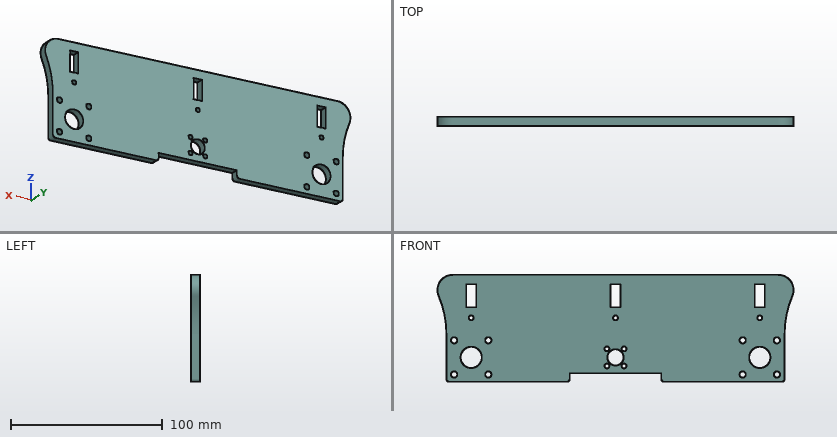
import cadquery as cq
import math

length = 234.5
thickness = 6.0
height = 70.5

wall_x = 111.5
lobe_radius = 10.0
flank_start_z = 31.7
corner_radius = 2.0
notch_half_width = 30.0
notch_depth = 5.6

station_x = 95.0
slot_width = 6.3
slot_height = 15.0
slot_z = 56.8
pin_hole_diameter = 3.0
pin_hole_z = 42.2
bore_z = 16.2
outer_bore_diameter = 13.8
outer_screw_diameter = 4.0
outer_screw_pitch = 22.5
center_bore_diameter = 10.5
center_screw_diameter = 3.0
center_screw_pitch = 11.3

lobe_x = length / 2 - lobe_radius
lobe_z = height - lobe_radius
lobe_inset = wall_x - lobe_x
lobe_rise = lobe_z - flank_start_z
flank_radius = (lobe_inset**2 + lobe_rise**2 - lobe_radius**2) / (2 * (lobe_radius - lobe_inset))
flank_x = wall_x + flank_radius
flank_angle = math.asin(lobe_rise / (flank_radius + lobe_radius))


def flank_point(angle):
    """Point on the right flank arc, at an angle above its start."""
    return (
        flank_x - flank_radius * math.cos(angle),
        flank_start_z + flank_radius * math.sin(angle),
    )


def lobe_point(angle):
    """Point on the right lobe arc, at an angle above the +X direction."""
    return (
        lobe_x + lobe_radius * math.cos(angle),
        lobe_z + lobe_radius * math.sin(angle),
    )


def mirrored(point):
    return (-point[0], point[1])


def make_plate():
    flank_middle = flank_point(flank_angle / 2)
    flank_end = flank_point(flank_angle)
    lobe_middle = lobe_point((math.pi / 2 - flank_angle) / 2)
    lobe_top = (lobe_x, height)
    plate = (
        cq.Workplane("XZ", origin=(0, thickness / 2, 0))
        .moveTo(-wall_x, 0)
        .lineTo(-notch_half_width, 0)
        .lineTo(-notch_half_width, notch_depth)
        .lineTo(notch_half_width, notch_depth)
        .lineTo(notch_half_width, 0)
        .lineTo(wall_x, 0)
        .lineTo(wall_x, flank_start_z)
        .threePointArc(flank_middle, flank_end)
        .threePointArc(lobe_middle, lobe_top)
        .lineTo(-lobe_x, height)
        .threePointArc(mirrored(lobe_middle), mirrored(flank_end))
        .threePointArc(mirrored(flank_middle), (-wall_x, flank_start_z))
        .close()
        .extrude(thickness)
    )
    bottom_corners = cq.selectors.BoxSelector(
        (-length, -thickness, -notch_depth),
        (length, thickness, notch_depth / 2),
    )
    return plate.edges("|Y").edges(bottom_corners).fillet(corner_radius)


def cutter_centers(points):
    """Sketch plane on the +Y face, with the given (x, z) points selected."""
    return cq.Workplane("XZ", origin=(0, thickness / 2, 0)).pushPoints(points)


def cut_holes(plate, points, diameter):
    return plate.cut(cutter_centers(points).circle(diameter / 2).extrude(thickness))


def cut_bore_group(plate, x, bore_diameter, screw_pitch, screw_diameter):
    """Round bore with four screw holes on a square around it."""
    half_pitch = screw_pitch / 2
    screws = [
        (x + side * half_pitch, bore_z + level * half_pitch)
        for side in (-1, 1)
        for level in (-1, 1)
    ]
    plate = cut_holes(plate, [(x, bore_z)], bore_diameter)
    return cut_holes(plate, screws, screw_diameter)


result = make_plate()

stations = (-station_x, 0, station_x)
slot_centers = [(x, slot_z) for x in stations]
result = result.cut(cutter_centers(slot_centers).rect(slot_width, slot_height).extrude(thickness))
result = cut_holes(result, [(x, pin_hole_z) for x in stations], pin_hole_diameter)

for x in (-station_x, station_x):
    result = cut_bore_group(result, x, outer_bore_diameter, outer_screw_pitch, outer_screw_diameter)
result = cut_bore_group(result, 0, center_bore_diameter, center_screw_pitch, center_screw_diameter)